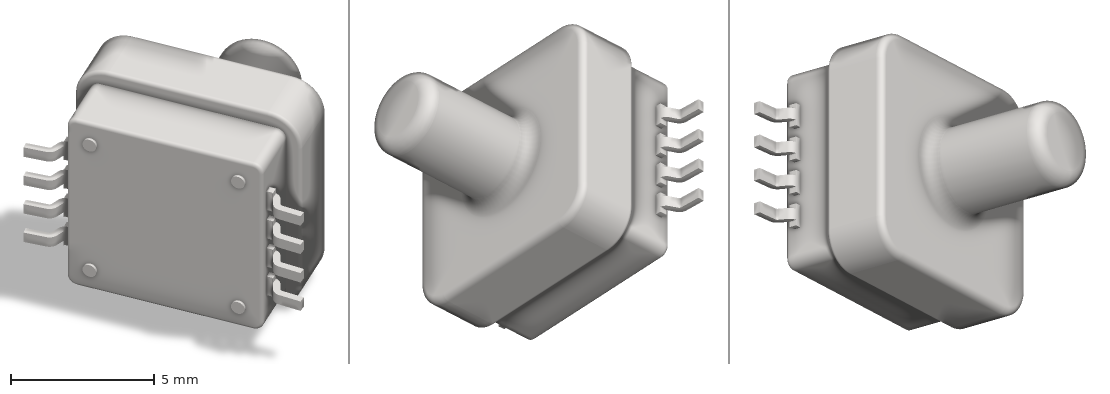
import cadquery as cq
import math


COVER_SIZE = 8.51
COVER_DEPTH = 2.38
COVER_CORNER_RADIUS = 1.25
COVER_PORT_SIDE_FILLET = 0.25

BASE_SIZE = 7.37
BASE_DEPTH = 2.21
BASE_CORNER_RADIUS = 0.38
LOWER_EDGE_FILLET = 0.14

PORT_DIAMETER = 3.14
PORT_LENGTH = 4.81
PORT_FILLET = 0.5

STANDOFF_DIAMETER = 0.51
STANDOFF_HEIGHT = 0.1
STANDOFF_SPACING = 5.59

LEADS_PER_SIDE = 4
LEAD_PITCH = 1.27
LEAD_REACH = 5.23
LEAD_THICKNESS = 0.26
LEAD_WIDTH = 0.42
SHOULDER_WIDTH = 0.84
SHOULDER_END = 3.93
LEAD_TOP = -1.57
UPPER_BEND_START = 3.87
UPPER_BEND_RADIUS = 0.07
LOWER_BEND_RADIUS = 0.1
SLOPE_LENGTH = 0.32
SLOPE_ANGLE = math.radians(67)
FOOT_ANGLE = math.radians(4)


def rounded_block(size, corner_radius, y_low, depth):
    """Square block standing on y_low, with its four Y-direction edges rounded."""
    return (
        cq.Workplane("XY")
        .box(size, depth, size)
        .edges("|Y")
        .fillet(corner_radius)
        .translate((0, y_low + depth / 2, 0))
    )


def make_housing():
    """Cover, base, port and stand-offs as one solid."""
    cover = rounded_block(COVER_SIZE, COVER_CORNER_RADIUS, 0, COVER_DEPTH)
    cover = cover.faces("<Y").edges().fillet(LOWER_EDGE_FILLET)
    cover = cover.faces(">Y").edges().fillet(COVER_PORT_SIDE_FILLET)

    base = rounded_block(BASE_SIZE, BASE_CORNER_RADIUS, -BASE_DEPTH, BASE_DEPTH)
    base = base.faces("<Y").edges().fillet(LOWER_EDGE_FILLET)

    standoffs = (
        cq.Workplane("XZ", origin=(0, -BASE_DEPTH, 0))
        .rect(STANDOFF_SPACING, STANDOFF_SPACING, forConstruction=True)
        .vertices()
        .circle(STANDOFF_DIAMETER / 2)
        .extrude(STANDOFF_HEIGHT)
    )
    return cover.union(base).union(make_port()).union(standoffs)


def make_port():
    """Round port revolved about Y, with a flared root and a rounded tip."""
    radius = PORT_DIAMETER / 2
    root_y = COVER_DEPTH
    tip_y = root_y + PORT_LENGTH
    arc_inset = PORT_FILLET * (1 - math.sqrt(0.5))
    return (
        cq.Workplane("XY")
        .moveTo(0, root_y)
        .lineTo(radius + PORT_FILLET, root_y)
        .threePointArc((radius + arc_inset, root_y + arc_inset), (radius, root_y + PORT_FILLET))
        .lineTo(radius, tip_y - PORT_FILLET)
        .threePointArc((radius - arc_inset, tip_y - arc_inset), (radius - PORT_FILLET, tip_y))
        .lineTo(0, tip_y)
        .close()
        .revolve(360, (0, 0, 0), (0, 1, 0))
    )


def polar(center, radius, angle):
    """Point at a radius from a centre, with the angle measured from +Y towards +X."""
    return (center[0] + radius * math.sin(angle), center[1] + radius * math.cos(angle))


def lead_outline():
    """Closed side outline of a +X lead: flat, bend down, slope, bend back, foot."""
    upper_outer = UPPER_BEND_RADIUS + LEAD_THICKNESS
    lower_outer = LOWER_BEND_RADIUS + LEAD_THICKNESS
    wall = BASE_SIZE / 2
    upper_center = (UPPER_BEND_START, LEAD_TOP - upper_outer)
    offset_center = polar(upper_center, upper_outer + LOWER_BEND_RADIUS, SLOPE_ANGLE)
    lower_center = polar(offset_center, SLOPE_LENGTH, SLOPE_ANGLE + math.pi / 2)
    upper_mid = SLOPE_ANGLE / 2
    lower_mid = (SLOPE_ANGLE + FOOT_ANGLE) / 2

    foot_top = polar(lower_center, -LOWER_BEND_RADIUS, FOOT_ANGLE)
    foot_length = (LEAD_REACH - foot_top[0]) / math.cos(FOOT_ANGLE)
    tip_top = polar(foot_top, foot_length, FOOT_ANGLE + math.pi / 2)
    tip_bottom = polar(tip_top, -LEAD_THICKNESS, FOOT_ANGLE)

    return (
        cq.Workplane("XY")
        .moveTo(wall, LEAD_TOP)
        .lineTo(UPPER_BEND_START, LEAD_TOP)
        .threePointArc(
            polar(upper_center, upper_outer, upper_mid),
            polar(upper_center, upper_outer, SLOPE_ANGLE),
        )
        .lineTo(*polar(lower_center, -LOWER_BEND_RADIUS, SLOPE_ANGLE))
        .threePointArc(polar(lower_center, -LOWER_BEND_RADIUS, lower_mid), foot_top)
        .lineTo(*tip_top)
        .lineTo(*tip_bottom)
        .lineTo(*polar(lower_center, -lower_outer, FOOT_ANGLE))
        .threePointArc(
            polar(lower_center, -lower_outer, lower_mid),
            polar(lower_center, -lower_outer, SLOPE_ANGLE),
        )
        .lineTo(*polar(upper_center, UPPER_BEND_RADIUS, SLOPE_ANGLE))
        .threePointArc(
            polar(upper_center, UPPER_BEND_RADIUS, upper_mid),
            (UPPER_BEND_START, LEAD_TOP - LEAD_THICKNESS),
        )
        .lineTo(wall, LEAD_TOP - LEAD_THICKNESS)
        .close()
    )


def make_lead():
    """One +X lead centred on Z = 0, widened to a shoulder next to the base wall."""
    strip = lead_outline().extrude(LEAD_WIDTH / 2, both=True)
    wide_strip = lead_outline().extrude(SHOULDER_WIDTH / 2, both=True)
    shoulder_zone = cq.Workplane("XY").box(2 * SHOULDER_END, COVER_SIZE, COVER_SIZE)
    return strip.union(wide_strip.intersect(shoulder_zone))


housing = make_housing()

right_lead = make_lead()
left_lead = right_lead.mirror("YZ")
leads = []
for index in range(LEADS_PER_SIDE):
    lead_z = (index - (LEADS_PER_SIDE - 1) / 2) * LEAD_PITCH
    for side_lead in (left_lead, right_lead):
        leads.append(side_lead.translate((0, 0, lead_z)).solids().val())

result = cq.Compound.makeCompound([housing.solids().val(), *leads])